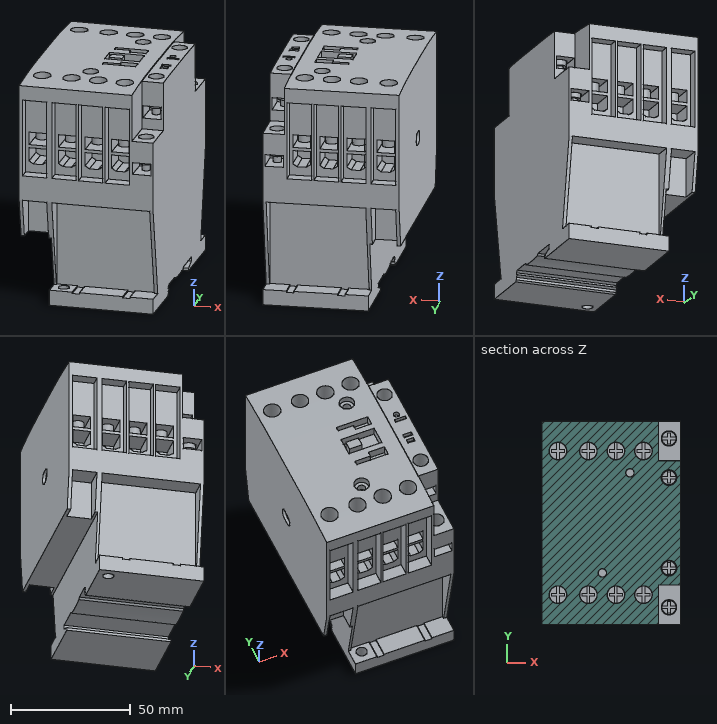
import cadquery as cq
import math

WIDTH = 58.0
LENGTH = 85.0
HEIGHT = 97.4
HALF_LENGTH = LENGTH / 2

CROWN_FLAT_HALF = 12.5
CROWN_DROP = 1.4
CROWN_RUN = HALF_LENGTH - CROWN_FLAT_HALF
CROWN_RADIUS = (CROWN_RUN**2 + CROWN_DROP**2) / (2 * CROWN_DROP)
TAPER_TOP = 45.4
WAIST_HALF = 35.0
BASE_THICKNESS = 6.75

POLE_BLOCK_WIDTH = 13.1
POLE_BLOCK_BOTTOM = 28.5

AUX_LEFT = 48.8
AUX_STEP_TOP = 75.7
AUX_STEP_Y = 26.0
AUX_DROP = 0.4

POLE_RECESS = (1.5, 12.0, 32.5, POLE_BLOCK_BOTTOM)
COIL_PANEL_HALF = 34.0
COIL_RECESS = (14.2, 56.5, COIL_PANEL_HALF, BASE_THICKNESS)

RAIL_ROOF = 4.6
RAIL_FIXED_Y = 19.4
HOOK_TIP_Y = 14.8
HOOK_TIP_HEIGHT = 1.2
HOOK_ROOT_HEIGHT = 2.8
LATCH_Y = -17.4
LATCH_TIP_Y = -16.2
LATCH_TIP_HEIGHT = 2.6
LATCH_RELIEF = 0.8
LATCH_FOOT = 0.7
PAD_HALF = 7.2
PAD_SHOULDER_HALF = 6.4
PAD_SHOULDER_HEIGHT = 3.8
PAD_LOW = 3.4

GROOVE_CENTRES = (24.6, 46.4)
GROOVE_WIDTH = 3.1
GROOVE_DEPTH = 0.6
MOUNT_HOLE_DIAMETER = 4.6
MOUNT_HOLE_INSET = 5.0

TERMINAL_X = (6.75, 19.45, 30.95, 42.45)
TERMINAL_SCREW_Y = 30.0
TERMINAL_HOLE_DIAMETER = 7.2
TERMINAL_HOLE_FLOOR = 76.0
TERMINAL_SHANK_DIAMETER = 5.3
TERMINAL_SHANK_END = 69.3
TERMINAL_SLOT_LONG = 7.1
TERMINAL_SLOT_SHORT = 5.3
SLOT_WIDTH = 1.1
SLOT_DEPTH = 1.0
BAY_WIDTH = 10.5
BAY_BOTTOM = 56.2
BAY_TOP = 89.7
BAY_DEPTH = 5.3
WINDOW_WIDTH = 7.5
WINDOW_BOTTOM = 68.4
WINDOW_TOP = 73.9
WINDOW_BACK_Y = 26.0
WIRE_ENTRY_TOP = 67.0
WIRE_ENTRY_SHOULDER = 61.2
WIRE_ENTRY_BOTTOM = 60.0
WIRE_ENTRY_FLOOR_HALF = 1.9

AUX_SCREW_X = 53.1
AUX_HOLE_DIAMETER = 6.4
AUX_HEAD_DIAMETER = 5.9
AUX_SLOT_SHORT = 4.7
AUX_SHANK_DIAMETER = 3.5
AUX_HEAD_TOP_GAP = 1.5
AUX_WINDOW_WIDTH = 7.9
AUX_WINDOW_DEPTH = 11.0
AUX_TERMINALS = (
    (35.25, HALF_LENGTH, 61.2, 64.2, 66.3),
    (18.9, AUX_STEP_Y, 80.5, 83.6, 85.9),
)

COUNTERBORE_CENTRES = ((36.8, 20.9), (25.3, -20.9))
COUNTERBORE_DIAMETER = 6.4
COUNTERBORE_DEPTH = 3.0
COUNTERBORE_PILOT = 3.4
PILOT_DEPTH = 6.0

SLOTS_RIGHT = 41.85
SLOTS_DEPTH = 4.0
GUIDE_LEFT = 27.6
GUIDE_STEP_X = 34.6
GUIDE_OUTER_Y = 10.7
GUIDE_STEP_Y = 8.8
GUIDE_INNER_Y = 6.65
ACTUATOR_LEFT = 26.8
ACTUATOR_HALF = 4.1
SLIDER_LEFT = 28.05
SLIDER_RIGHT = 33.8
SLIDER_HALF = 1.95

MARK_DEPTH = 2.0
MARK_BARS = (
    (51.6, 56.5, 3.8, 5.1),
    (51.6, 55.4, -5.3, -3.6),
    (51.9, 55.0, -8.5, -6.7),
)
MARK_DOT = (53.4, 7.3)
MARK_DOT_DIAMETER = 2.5

DIMPLE_LENGTH = 7.6
DIMPLE_HEIGHT = 5.5
DIMPLE_RADIUS = 2.5
DIMPLE_CENTRE_Z = 63.0
DIMPLE_DEPTH = 1.3


def block(x0, x1, y0, y1, z0, z1):
    """Box between two opposite corners, with the Y limits in either order."""
    size = (x1 - x0, abs(y1 - y0), z1 - z0)
    return cq.Workplane("XY").box(*size, centered=False).translate((x0, min(y0, y1), z0))


def rod(x, y, z0, z1, diameter):
    """Upright cylinder between two levels."""
    return cq.Workplane("XY").center(x, y).circle(diameter / 2).extrude(z1 - z0).translate((0, 0, z0))


def crowned(outline, peak):
    """Close a side outline with the flat middle of the top and a tangent arc at each end."""
    mid_run = CROWN_RUN / 2
    mid_y = CROWN_FLAT_HALF + mid_run
    mid_z = peak - CROWN_RADIUS + math.sqrt(CROWN_RADIUS**2 - mid_run**2)
    end_z = peak - CROWN_DROP
    return (
        outline.lineTo(HALF_LENGTH, end_z)
        .threePointArc((mid_y, mid_z), (CROWN_FLAT_HALF, peak))
        .lineTo(-CROWN_FLAT_HALF, peak)
        .threePointArc((-mid_y, mid_z), (-HALF_LENGTH, end_z))
        .close()
    )


def make_body():
    outline = (
        cq.Workplane("YZ")
        .moveTo(-HALF_LENGTH, TAPER_TOP)
        .lineTo(-WAIST_HALF, BASE_THICKNESS)
        .lineTo(-HALF_LENGTH, BASE_THICKNESS)
        .lineTo(-HALF_LENGTH, 0)
        .lineTo(HALF_LENGTH, 0)
        .lineTo(HALF_LENGTH, BASE_THICKNESS)
        .lineTo(WAIST_HALF, BASE_THICKNESS)
        .lineTo(HALF_LENGTH, TAPER_TOP)
    )
    body = crowned(outline, HEIGHT).extrude(WIDTH)
    return body.cut(block(0, POLE_BLOCK_WIDTH, -HALF_LENGTH, HALF_LENGTH, 0, POLE_BLOCK_BOTTOM))


def shape_aux_block(body):
    base = cq.Workplane("YZ").moveTo(-HALF_LENGTH, 0).lineTo(HALF_LENGTH, 0)
    lowered = crowned(base, HEIGHT - AUX_DROP).extrude(WIDTH)
    side = block(AUX_LEFT, WIDTH, -HALF_LENGTH, HALF_LENGTH, AUX_STEP_TOP, HEIGHT)
    body = body.cut(side.cut(lowered))
    for end in (-1, 1):
        step = block(AUX_LEFT, WIDTH, end * AUX_STEP_Y, end * HALF_LENGTH, AUX_STEP_TOP, HEIGHT)
        body = body.cut(step)
    return body


def cut_end_recesses(body):
    for left, right, panel_y, bottom in (POLE_RECESS, COIL_RECESS):
        for end in (-1, 1):
            body = body.cut(block(left, right, end * panel_y, end * HALF_LENGTH, bottom, TAPER_TOP))
    return body


def cut_rail_recess(body):
    recess = (
        cq.Workplane("YZ")
        .moveTo(HOOK_TIP_Y, 0)
        .lineTo(HOOK_TIP_Y, HOOK_TIP_HEIGHT)
        .lineTo(RAIL_FIXED_Y, HOOK_ROOT_HEIGHT)
        .lineTo(RAIL_FIXED_Y, RAIL_ROOF)
        .lineTo(PAD_HALF, RAIL_ROOF)
        .lineTo(PAD_SHOULDER_HALF, PAD_SHOULDER_HEIGHT)
        .threePointArc((0, PAD_LOW), (-PAD_SHOULDER_HALF, PAD_SHOULDER_HEIGHT))
        .lineTo(-PAD_HALF, RAIL_ROOF)
        .lineTo(LATCH_TIP_Y, RAIL_ROOF)
        .lineTo(LATCH_Y, RAIL_ROOF - LATCH_RELIEF)
        .lineTo(LATCH_Y, LATCH_TIP_HEIGHT + LATCH_RELIEF / 2)
        .lineTo(LATCH_TIP_Y, LATCH_TIP_HEIGHT)
        .lineTo(LATCH_Y, LATCH_TIP_HEIGHT - LATCH_RELIEF)
        .lineTo(LATCH_Y, LATCH_FOOT)
        .lineTo(LATCH_Y - LATCH_FOOT, 0)
        .close()
        .extrude(WIDTH)
    )
    return body.cut(recess)


def cut_base_details(body):
    groove_floor = BASE_THICKNESS - GROOVE_DEPTH
    for x in GROOVE_CENTRES:
        left = x - GROOVE_WIDTH / 2
        right = x + GROOVE_WIDTH / 2
        for end in (-1, 1):
            panel_y = end * COIL_PANEL_HALF
            groove = block(left, right, panel_y, end * HALF_LENGTH, groove_floor, BASE_THICKNESS)
            body = body.cut(groove)
    hole_x = POLE_BLOCK_WIDTH + MOUNT_HOLE_INSET
    hole_y = -HALF_LENGTH + MOUNT_HOLE_INSET
    return body.cut(rod(hole_x, hole_y, 0, BASE_THICKNESS, MOUNT_HOLE_DIAMETER))


def cross_slot(x, y, top, length_x, length_y):
    """Crossed driver slots sunk below a screw head's top."""
    half = SLOT_WIDTH / 2
    floor = top - SLOT_DEPTH
    across = block(x - length_x / 2, x + length_x / 2, y - half, y + half, floor, top)
    along = block(x - half, x + half, y - length_y / 2, y + length_y / 2, floor, top)
    return across.union(along)


def main_terminal(x, end):
    """Everything removed for one main terminal at one end (-1 front, 1 back)."""
    screw_y = end * TERMINAL_SCREW_Y
    bay_back = end * (HALF_LENGTH - BAY_DEPTH)
    window_back = end * WINDOW_BACK_Y
    half = WINDOW_WIDTH / 2

    hole = rod(x, screw_y, TERMINAL_HOLE_FLOOR, HEIGHT, TERMINAL_HOLE_DIAMETER)
    slots = cross_slot(x, screw_y, TERMINAL_HOLE_FLOOR, TERMINAL_SLOT_SHORT, TERMINAL_SLOT_LONG)
    bay = block(x - BAY_WIDTH / 2, x + BAY_WIDTH / 2, bay_back, end * HALF_LENGTH, BAY_BOTTOM, BAY_TOP)
    window = block(x - half, x + half, window_back, bay_back, WINDOW_BOTTOM, WINDOW_TOP)
    shank = rod(x, screw_y, TERMINAL_SHANK_END, WINDOW_TOP, TERMINAL_SHANK_DIAMETER)
    wire_entry = (
        cq.Workplane("XZ")
        .moveTo(x - half, WIRE_ENTRY_TOP)
        .lineTo(x - half, WIRE_ENTRY_SHOULDER)
        .lineTo(x - WIRE_ENTRY_FLOOR_HALF, WIRE_ENTRY_BOTTOM)
        .lineTo(x + WIRE_ENTRY_FLOOR_HALF, WIRE_ENTRY_BOTTOM)
        .lineTo(x + half, WIRE_ENTRY_SHOULDER)
        .lineTo(x + half, WIRE_ENTRY_TOP)
        .close()
        .extrude(abs(bay_back - window_back))
        .translate((0, max(bay_back, window_back), 0))
    )
    return hole.union(slots).union(bay).union(window.cut(shank)).union(wire_entry)


def aux_terminal(end, screw_dist, wall_dist, bottom, head_bottom, top):
    """Everything removed for one auxiliary terminal."""
    screw_y = end * screw_dist
    half = AUX_WINDOW_WIDTH / 2
    head_top = top + AUX_HEAD_TOP_GAP
    window_back = end * (wall_dist - AUX_WINDOW_DEPTH)

    hole = rod(AUX_SCREW_X, screw_y, top, HEIGHT, AUX_HOLE_DIAMETER)
    window = block(AUX_SCREW_X - half, AUX_SCREW_X + half, window_back, end * wall_dist, bottom, top)
    head = rod(AUX_SCREW_X, screw_y, head_bottom, head_top, AUX_HEAD_DIAMETER)
    head = head.cut(cross_slot(AUX_SCREW_X, screw_y, head_top, AUX_HEAD_DIAMETER, AUX_SLOT_SHORT))
    shank = rod(AUX_SCREW_X, screw_y, bottom, head_bottom, AUX_SHANK_DIAMETER)
    return hole.union(window).cut(head).cut(shank)


def cut_terminals(body):
    for end in (-1, 1):
        for x in TERMINAL_X:
            body = body.cut(main_terminal(x, end))
        for terminal in AUX_TERMINALS:
            body = body.cut(aux_terminal(end, *terminal))
    return body


def cut_counterbores(body):
    for x, y in COUNTERBORE_CENTRES:
        floor = HEIGHT - COUNTERBORE_DEPTH
        body = body.cut(rod(x, y, floor, HEIGHT, COUNTERBORE_DIAMETER))
        body = body.cut(rod(x, y, HEIGHT - PILOT_DEPTH, floor, COUNTERBORE_PILOT))
    return body


def cut_accessory_slots(body):
    floor = HEIGHT - SLOTS_DEPTH
    for side in (-1, 1):
        narrow = block(GUIDE_LEFT, GUIDE_STEP_X, side * GUIDE_STEP_Y, side * GUIDE_OUTER_Y, floor, HEIGHT)
        wide = block(GUIDE_STEP_X, SLOTS_RIGHT, side * GUIDE_INNER_Y, side * GUIDE_OUTER_Y, floor, HEIGHT)
        body = body.cut(narrow.union(wide))
    actuator = block(ACTUATOR_LEFT, SLOTS_RIGHT, -ACTUATOR_HALF, ACTUATOR_HALF, floor, HEIGHT)
    slider = block(SLIDER_LEFT, SLIDER_RIGHT, -SLIDER_HALF, SLIDER_HALF, floor, HEIGHT)
    return body.cut(actuator.cut(slider))


def cut_marks(body):
    floor = HEIGHT - AUX_DROP - MARK_DEPTH
    for left, right, front, back in MARK_BARS:
        body = body.cut(block(left, right, front, back, floor, HEIGHT))
    return body.cut(rod(*MARK_DOT, floor, HEIGHT, MARK_DOT_DIAMETER))


def cut_dimple(body):
    dimple = (
        cq.Workplane("YZ")
        .center(0, DIMPLE_CENTRE_Z)
        .rect(DIMPLE_LENGTH, DIMPLE_HEIGHT)
        .extrude(DIMPLE_DEPTH)
        .edges("|X")
        .fillet(DIMPLE_RADIUS)
    )
    return body.cut(dimple)


result = make_body()
result = shape_aux_block(result)
result = cut_end_recesses(result)
result = cut_rail_recess(result)
result = cut_base_details(result)
result = cut_terminals(result)
result = cut_counterbores(result)
result = cut_accessory_slots(result)
result = cut_marks(result)
result = cut_dimple(result)